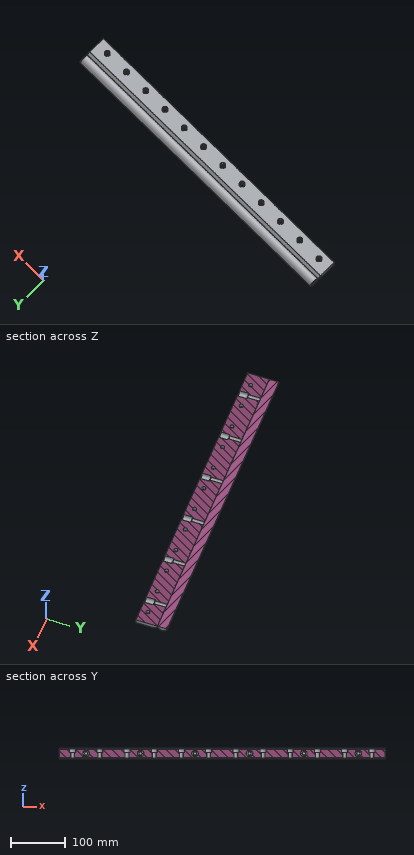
import cadquery as cq

length = 600.0
depth = 62.0

shaft_diameter = 20.0
shaft_radius = shaft_diameter / 2
shaft_y = depth - shaft_radius
shaft_end_chamfer = 1.0

rail_height = 16.0
rail_flat_depth = 36.0
neck_height = 7.0
neck_depth = 42.5

mount_count = 12
mount_pitch = length / mount_count
mount_y = 15.0
mount_diameter = 6.5
mount_bore_diameter = 11.0
mount_bore_depth = 6.0

screw_count = 6
screw_pitch = length / screw_count
screw_diameter = 6.0
screw_bore_diameter = 11.5
screw_bore_depth = 18.0


def row_positions(count, pitch):
    """Evenly spaced points along X, half a pitch in from each end."""
    return [((i + 0.5) * pitch, 0) for i in range(count)]


def make_shaft():
    """Plain cylinder along X with chamfered ends."""
    return (
        cq.Workplane("YZ")
        .center(shaft_y, 0)
        .circle(shaft_radius)
        .extrude(length)
        .faces("<X or >X")
        .chamfer(shaft_end_chamfer)
    )


def make_rail_blank():
    """Bar with a tapered neck, hollowed to cradle the shaft."""
    bar = (
        cq.Workplane("YZ")
        .moveTo(0, -rail_height / 2)
        .lineTo(rail_flat_depth, -rail_height / 2)
        .lineTo(neck_depth, -neck_height / 2)
        .lineTo(shaft_y, -neck_height / 2)
        .lineTo(shaft_y, neck_height / 2)
        .lineTo(neck_depth, neck_height / 2)
        .lineTo(rail_flat_depth, rail_height / 2)
        .lineTo(0, rail_height / 2)
        .close()
        .extrude(length)
    )
    cradle = cq.Workplane("YZ").center(shaft_y, 0).circle(shaft_radius).extrude(length)
    return bar.cut(cradle)


def drill_mount_holes(rail):
    """Counterbored through holes opening on the top face."""
    return (
        rail.copyWorkplane(cq.Workplane("XY", origin=(0, mount_y, rail_height / 2)))
        .pushPoints(row_positions(mount_count, mount_pitch))
        .cboreHole(mount_diameter, mount_bore_diameter, mount_bore_depth)
    )


def drill_screw_holes(rail):
    """Counterbored holes opening on the front face and ending at the shaft."""
    return (
        rail.copyWorkplane(cq.Workplane("XZ"))
        .pushPoints(row_positions(screw_count, screw_pitch))
        .cboreHole(screw_diameter, screw_bore_diameter, screw_bore_depth, shaft_y)
    )


shaft = make_shaft()
rail = drill_screw_holes(drill_mount_holes(make_rail_blank()))

result = cq.Compound.makeCompound([shaft.val(), rail.val()])